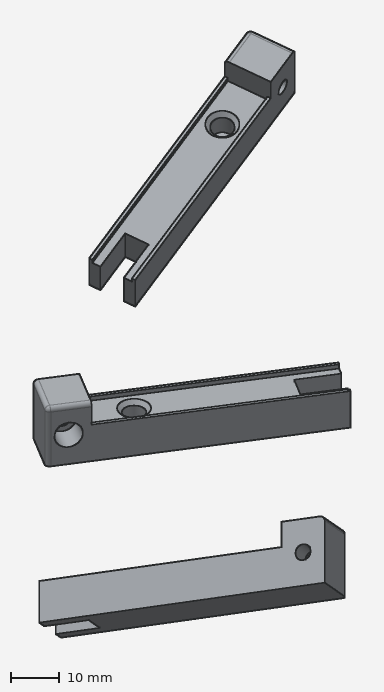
import cadquery as cq

length = 64.5
width = 11.0
height = 14.5

head_length = 9.75
head_rounding = 1.0

rail_top = 9.0
channel_floor = 8.0
rail_width = 0.8

slot_width = 5.6
slot_depth = 10.0

cross_hole_diameter = 3.4
counterbore_diameter = 6.0
counterbore_depth = 6.0

blind_hole_diameter = 5.0
countersink_diameter = 7.0
blind_hole_depth = 6.0
blind_hole_from_back = 20.0

head_front = length - head_length
head_middle = length - head_length / 2


def box(x_size, y_start, y_end, z_start, z_end):
    """Box centred on X between the given Y and Z limits."""
    return cq.Workplane("XY").box(
        x_size, y_end - y_start, z_end - z_start, centered=(True, False, False)
    ).translate((0, y_start, z_start))


def make_body():
    """Rounded head block joined to the channelled arm."""
    head = box(width, head_front, length, 0, height)
    head = head.edges("(<X and >Y) or (<X and >Z) or (>Y and >Z)").fillet(head_rounding)
    arm = box(width, 0, head_front, 0, rail_top)
    channel = box(width - 2 * rail_width, 0, head_front, channel_floor, rail_top)
    return head.union(arm.cut(channel))


def make_cross_hole():
    """Stepped cutter along X through the middle of the head."""
    start = cq.Workplane("YZ", origin=(-width / 2, head_middle, height / 2))
    through = start.circle(cross_hole_diameter / 2).extrude(width)
    counterbore = start.circle(counterbore_diameter / 2).extrude(counterbore_depth)
    return through.union(counterbore)


def make_blind_hole():
    """Cutter with a 45 degree countersink, opening in the channel floor."""
    hole_radius = blind_hole_diameter / 2
    sink_radius = countersink_diameter / 2
    sink_bottom = -(sink_radius - hole_radius)
    profile = [
        (0, 0),
        (sink_radius, 0),
        (hole_radius, sink_bottom),
        (hole_radius, -blind_hole_depth),
        (0, -blind_hole_depth),
    ]
    cutter = cq.Workplane("XZ").polyline(profile).close().revolve(360, (0, 0, 0), (0, 1, 0))
    return cutter.translate((0, length - blind_hole_from_back, channel_floor))


slot = box(slot_width, 0, slot_depth, 0, rail_top)

result = make_body().cut(slot).cut(make_cross_hole()).cut(make_blind_hole())